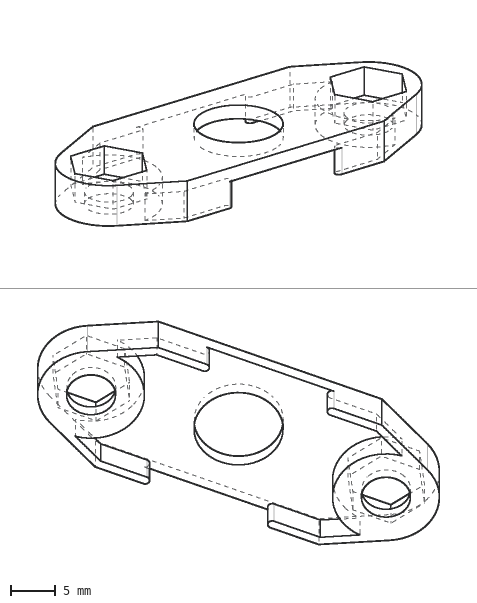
import cadquery as cq
import math

height = 5.0
width = 18.0
straight_length = 27.3
end_radius = 6.0
screw_spacing = 36.0

plate_thickness = 1.7
wall_thickness = 1.0
gap_length = 14.5

center_hole_diameter = 10.0
screw_hole_diameter = 5.5
nut_across_flats = 8.1
nut_floor_thickness = 1.5

half_width = width / 2
half_straight = straight_length / 2
screw_y = screw_spacing / 2
cavity_depth = height - plate_thickness
screw_points = [(0, -screw_y), (0, screw_y)]


def find_taper_angle():
    """Angle from X of the normal to the taper that joins a side corner tangent to the end circle."""
    corner_drop = screw_y - half_straight
    corner_distance = math.hypot(half_width, corner_drop)
    return math.acos(end_radius / corner_distance) - math.atan2(corner_drop, half_width)


def make_outline_prism(inset, depth):
    """Elongated outline moved inward by inset: parallel sides, tapers, rounded ends."""
    taper_angle = find_taper_angle()
    radius = end_radius - inset
    side_x = half_width - inset
    side_y = screw_y + (radius - side_x * math.cos(taper_angle)) / math.sin(taper_angle)
    tangent_x = radius * math.cos(taper_angle)
    tangent_y = screw_y + radius * math.sin(taper_angle)
    tip_y = screw_y + radius
    return (
        cq.Workplane("XY")
        .moveTo(side_x, -side_y)
        .lineTo(side_x, side_y)
        .lineTo(tangent_x, tangent_y)
        .threePointArc((0, tip_y), (-tangent_x, tangent_y))
        .lineTo(-side_x, side_y)
        .lineTo(-side_x, -side_y)
        .lineTo(-tangent_x, -tangent_y)
        .threePointArc((0, -tip_y), (tangent_x, -tangent_y))
        .close()
        .extrude(depth)
    )


def make_cavity():
    """Space under the plate, inside the perimeter wall and around the nut bosses."""
    bosses = cq.Workplane("XY").pushPoints(screw_points).circle(end_radius).extrude(height)
    return make_outline_prism(wall_thickness, cavity_depth).cut(bosses)


def make_side_gaps():
    """Slot through both long walls, leaving each wall end fully rounded."""
    end_round = wall_thickness / 2
    slot = cq.Workplane("XY").box(
        width, gap_length + 2 * end_round, cavity_depth, centered=(True, True, False)
    )
    wall_center_x = half_width - end_round
    round_y = gap_length / 2 + end_round
    round_points = [(x, y) for x in (-wall_center_x, wall_center_x) for y in (-round_y, round_y)]
    wall_ends = cq.Workplane("XY").pushPoints(round_points).circle(end_round).extrude(cavity_depth)
    return slot.cut(wall_ends)


def make_nut_pockets():
    """Hexagonal pockets from the top, with corners pointing along Y."""
    across_corners = nut_across_flats / math.cos(math.pi / 6)
    pocket = (
        cq.Workplane("XY", origin=(0, 0, nut_floor_thickness))
        .polygon(6, across_corners)
        .extrude(height - nut_floor_thickness)
        .rotate((0, 0, 0), (0, 0, 1), 90)
    )
    return pocket.translate((0, -screw_y, 0)).union(pocket.translate((0, screw_y, 0)))


def make_holes():
    """Central opening and the two screw holes, all through."""
    screw_holes = cq.Workplane("XY").pushPoints(screw_points).circle(screw_hole_diameter / 2)
    center_hole = cq.Workplane("XY").circle(center_hole_diameter / 2)
    return center_hole.extrude(height).union(screw_holes.extrude(height))


result = (
    make_outline_prism(0, height)
    .cut(make_cavity())
    .cut(make_side_gaps())
    .cut(make_nut_pockets())
    .cut(make_holes())
)